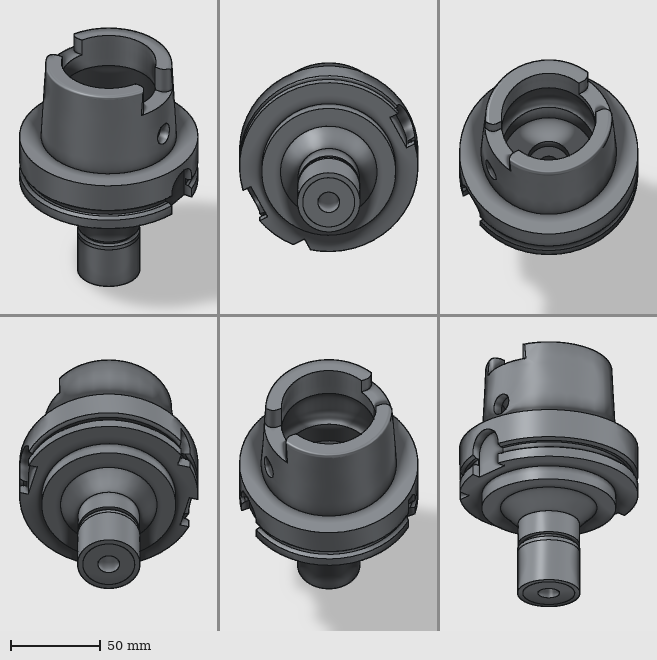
import cadquery as cq
import math

total_height = 140.0
taper_length = 50.0
flange_top = total_height - taper_length
flange_height = 29.0
flange_bottom = flange_top - flange_height
boss_height = 8.1
boss_bottom = flange_bottom - boss_height
cone_height = 10.0
cone_bottom = boss_bottom - cone_height
neck_height = 13.0
neck_bottom = cone_bottom - neck_height
neck_gap = 3.0
ring_top = neck_bottom - neck_gap
ring_height = 2.2
sleeve_top = ring_top - ring_height

taper_top_radius = 35.4
taper_base_radius = 38.0
taper_edge_radius = 2.1
flange_radius = 50.0
boss_radius = 37.5
cone_top_radius = 27.0
neck_radius = 17.2
core_radius = 14.5
sleeve_radius = 17.5

groove_radius = 45.9
groove_flare_radius = 47.7
groove_mouth_height = 6.5
groove_floor_height = 3.9
groove_distance = 20.0
groove_middle = flange_top - groove_distance

mouth_radius = 26.5
mouth_depth = 20.3
chamber_radius = 31.5
chamber_depth = 40.7
chamber_round_height = 7.0
well_radius = mouth_radius
well_depth = 62.5
recess_radius = 12.0
recess_depth = 7.0
coolant_hole_radius = 6.0
cross_hole_radius = 6.0
cross_hole_depth = 34.9

drive_slot_width = 20.0
drive_slot_corner_radius = 5.0
drive_flat_distance = 32.3
shallow_slot_depth = 10.0
deep_slot_depth = 15.3

keyway_width = 20.2
keyway_floor_distance = 44.0
notch_width = 18.0
notch_inner_side = 31.4
notch_floor_distance = 31.8
arch_land = 5.2
arch_crown = flange_top - arch_land


def cylinder(radius, bottom, height):
    return cq.Workplane("XY", origin=(0, 0, bottom)).circle(radius).extrude(height)


def holder_blank():
    """Taper, flange, boss, cone, neck and core turned in one piece."""
    rim_top_radius = taper_top_radius - taper_edge_radius
    rim_start = total_height - taper_edge_radius
    bulge = taper_edge_radius * math.sin(math.radians(45))
    return (
        cq.Workplane("YZ")
        .lineTo(core_radius, 0)
        .lineTo(core_radius, neck_bottom)
        .lineTo(neck_radius, neck_bottom)
        .lineTo(neck_radius, cone_bottom)
        .lineTo(cone_top_radius, boss_bottom)
        .lineTo(boss_radius, boss_bottom)
        .lineTo(boss_radius, flange_bottom)
        .lineTo(flange_radius, flange_bottom)
        .lineTo(flange_radius, flange_top)
        .lineTo(taper_base_radius, flange_top)
        .lineTo(taper_top_radius, rim_start)
        .threePointArc((rim_top_radius + bulge, rim_start + bulge), (rim_top_radius, total_height))
        .lineTo(0, total_height)
        .close()
        .revolve(360, (0, 0, 0), (0, 1, 0))
    )


def gripper_groove():
    """Ring to cut around the flange: a straight channel whose sides flare open near the rim."""
    half_mouth = groove_mouth_height / 2
    half_floor = groove_floor_height / 2
    return (
        cq.Workplane("YZ")
        .moveTo(groove_radius, groove_middle - half_floor)
        .lineTo(groove_flare_radius, groove_middle - half_floor)
        .lineTo(flange_radius, groove_middle - half_mouth)
        .lineTo(flange_radius, groove_middle + half_mouth)
        .lineTo(groove_flare_radius, groove_middle + half_floor)
        .lineTo(groove_radius, groove_middle + half_floor)
        .close()
        .revolve(360, (0, 0, 0), (0, 1, 0))
    )


def bores():
    """Mouth, wider chamber rounding down into a well, recess in the well floor, and through hole."""
    mouth_bottom = total_height - mouth_depth
    round_top = total_height - chamber_depth
    well_floor = total_height - well_depth
    recess_floor = well_floor - recess_depth
    return (
        cq.Workplane("YZ")
        .lineTo(coolant_hole_radius, 0)
        .lineTo(coolant_hole_radius, recess_floor)
        .lineTo(recess_radius, recess_floor)
        .lineTo(recess_radius, well_floor)
        .lineTo(well_radius, well_floor)
        .lineTo(well_radius, total_height)
        .lineTo(0, total_height)
        .close()
        .revolve(360, (0, 0, 0), (0, 1, 0))
        .union(chamber(mouth_bottom, round_top))
    )


def chamber(top, round_top):
    """Undercut below the mouth, with an arc that leads its wall down and in to the well."""
    return (
        cq.Workplane("YZ")
        .moveTo(0, top)
        .lineTo(chamber_radius, top)
        .lineTo(chamber_radius, round_top)
        .tangentArcPoint((well_radius, round_top - chamber_round_height), relative=False)
        .lineTo(0, round_top - chamber_round_height)
        .close()
        .revolve(360, (0, 0, 0), (0, 1, 0))
    )


def cross_hole():
    """Hole along X through both walls of the hollow taper."""
    return (
        cq.Workplane("YZ", origin=(0, 0, total_height - cross_hole_depth))
        .circle(cross_hole_radius)
        .extrude(taper_base_radius, both=True)
    )


def drive_slot(side, depth):
    """Slot in the taper's end on one side (-1 or 1 along X), flaring out to a flat at its mouth."""
    half_width = drive_slot_width / 2
    bulge = drive_slot_corner_radius * math.sin(math.radians(45))
    flat_x = side * drive_flat_distance
    outer_x = side * taper_base_radius
    arc_start_x = side * (drive_flat_distance - drive_slot_corner_radius)
    arc_middle_x = arc_start_x + side * bulge
    shoulder_y = half_width + drive_slot_corner_radius
    arc_middle_y = shoulder_y - bulge
    return (
        cq.Workplane("XY", origin=(0, 0, total_height - depth))
        .moveTo(0, -half_width)
        .lineTo(arc_start_x, -half_width)
        .threePointArc((arc_middle_x, -arc_middle_y), (flat_x, -shoulder_y))
        .lineTo(flat_x, -taper_base_radius)
        .lineTo(outer_x, -taper_base_radius)
        .lineTo(outer_x, taper_base_radius)
        .lineTo(flat_x, taper_base_radius)
        .lineTo(flat_x, shoulder_y)
        .threePointArc((arc_middle_x, arc_middle_y), (arc_start_x, half_width))
        .lineTo(0, half_width)
        .close()
        .extrude(depth)
    )


def arched_cut(side, width, middle_y, floor_distance):
    """Round-topped slot, open at the flange bottom, from floor_distance outward along X."""
    half_width = width / 2
    spring = arch_crown - half_width
    return (
        cq.Workplane("YZ", origin=(side * floor_distance, 0, 0))
        .moveTo(middle_y - half_width, flange_bottom)
        .lineTo(middle_y - half_width, spring)
        .threePointArc((middle_y, arch_crown), (middle_y + half_width, spring))
        .lineTo(middle_y + half_width, flange_bottom)
        .close()
        .extrude(side * flange_radius)
    )


def make_holder():
    notch_middle = notch_inner_side + notch_width / 2
    return (
        holder_blank()
        .cut(gripper_groove())
        .cut(bores())
        .cut(cross_hole())
        .cut(drive_slot(-1, shallow_slot_depth))
        .cut(drive_slot(1, deep_slot_depth))
        .cut(arched_cut(-1, keyway_width, 0, keyway_floor_distance))
        .cut(arched_cut(1, keyway_width, 0, keyway_floor_distance))
        .cut(arched_cut(-1, notch_width, notch_middle, notch_floor_distance))
    )


def make_collar(bottom, height):
    """Plain ring that fits around the holder's core."""
    return cylinder(sleeve_radius, bottom, height).cut(cylinder(core_radius, bottom, height))


holder = make_holder()
ring = make_collar(sleeve_top, ring_height)
sleeve = make_collar(0, sleeve_top)

result = cq.Compound.makeCompound([holder.val(), ring.val(), sleeve.val()])